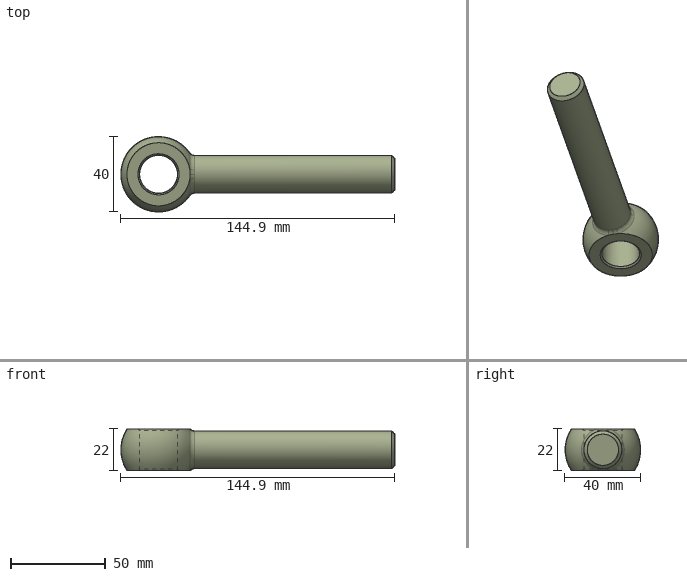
import cadquery as cq

overall_length = 144.9
ball_diameter = 40.0
eye_thickness = 22.0
hole_diameter = 20.0
hole_chamfer = 0.9
shank_diameter = 20.0
end_chamfer = 1.7
neck_fillet = 3.0

ball_radius = ball_diameter / 2
shank_radius = shank_diameter / 2
shank_end = overall_length - ball_radius


def make_ball():
    """Sphere that forms the outside of the eye."""
    return cq.Workplane("XY").sphere(ball_radius)


def make_shank():
    """Round rod from the ball centre, chamfered at its free end."""
    rod = cq.Workplane("YZ").circle(shank_radius).extrude(shank_end)
    return rod.faces(">X").chamfer(end_chamfer)


def make_hole():
    """Through hole along Z with a chamfer at each mouth."""
    half_thickness = eye_thickness / 2
    hole_radius = hole_diameter / 2
    mouth_radius = hole_radius + hole_chamfer
    return (
        cq.Workplane("XZ")
        .moveTo(0, -half_thickness)
        .lineTo(mouth_radius, -half_thickness)
        .lineTo(hole_radius, -half_thickness + hole_chamfer)
        .lineTo(hole_radius, half_thickness - hole_chamfer)
        .lineTo(mouth_radius, half_thickness)
        .lineTo(0, half_thickness)
        .close()
        .revolve(360, (0, 0, 0), (0, 1, 0))
    )


flat_slab = cq.Workplane("XY").box(2 * ball_diameter, 2 * ball_diameter, eye_thickness)
eye = make_ball().intersect(flat_slab)

neck_x = (ball_radius**2 - shank_radius**2) ** 0.5
neck_edge = cq.selectors.BoxSelector(
    (neck_x - neck_fillet / 2, -ball_radius, -ball_radius),
    (neck_x + neck_fillet / 2, ball_radius, ball_radius),
    boundingbox=True,
)
body = eye.union(make_shank()).edges(neck_edge).fillet(neck_fillet)
result = body.cut(make_hole())